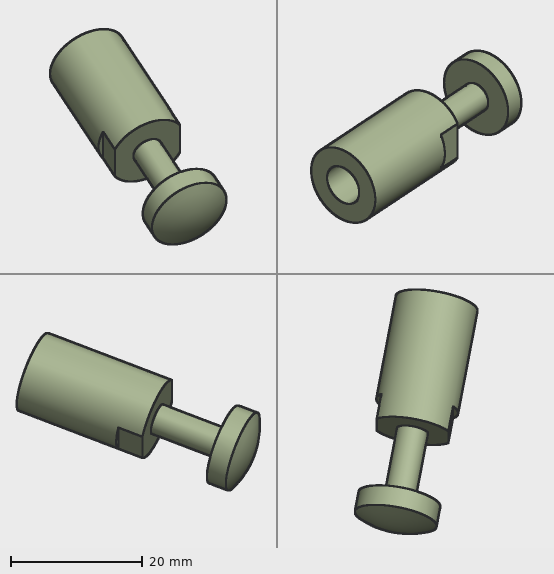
import cadquery as cq

total_length = 36.5
outer_diameter = 12.7
body_length = 20.63
rod_diameter = 4.82
head_start = 31.73
dome_height = 1.6

flat_length = 4.0
across_flats = 11.1

bore_diameter = 6.35
bore_depth = 12.7
pilot_diameter = 4.82
pilot_depth = 3.18
pilot_tip_depth = 1.4

outer_radius = outer_diameter / 2
dome_start = total_length - dome_height


def make_turned_blank():
    """Body, rod and domed head revolved about the X axis."""
    dome_radius = (outer_radius**2 + dome_height**2) / (2 * dome_height)
    dome_center_x = total_length - dome_radius
    mid_radius = outer_radius / 2
    mid_x = dome_center_x + (dome_radius**2 - mid_radius**2) ** 0.5
    return (
        cq.Workplane("XY")
        .lineTo(0, outer_radius)
        .lineTo(body_length, outer_radius)
        .lineTo(body_length, rod_diameter / 2)
        .lineTo(head_start, rod_diameter / 2)
        .lineTo(head_start, outer_radius)
        .lineTo(dome_start, outer_radius)
        .threePointArc((mid_x, mid_radius), (total_length, 0))
        .close()
        .revolve(360, (0, 0, 0), (1, 0, 0))
    )


def make_bore():
    """Stepped bore ending in a conical drill tip."""
    pilot_end = bore_depth + pilot_depth
    return (
        cq.Workplane("XY")
        .lineTo(0, bore_diameter / 2)
        .lineTo(bore_depth, bore_diameter / 2)
        .lineTo(bore_depth, pilot_diameter / 2)
        .lineTo(pilot_end, pilot_diameter / 2)
        .lineTo(pilot_end + pilot_tip_depth, 0)
        .close()
        .revolve(360, (0, 0, 0), (1, 0, 0))
    )


def make_flat_cutter(side):
    """Block that removes one wrench flat; side is +1 or -1 along Y."""
    cutter_width = outer_radius
    center_y = side * (across_flats + cutter_width) / 2
    return (
        cq.Workplane("XY")
        .box(flat_length, cutter_width, outer_diameter)
        .translate((body_length - flat_length / 2, center_y, 0))
    )


result = make_turned_blank().cut(make_bore())
for side in (-1, 1):
    result = result.cut(make_flat_cutter(side))